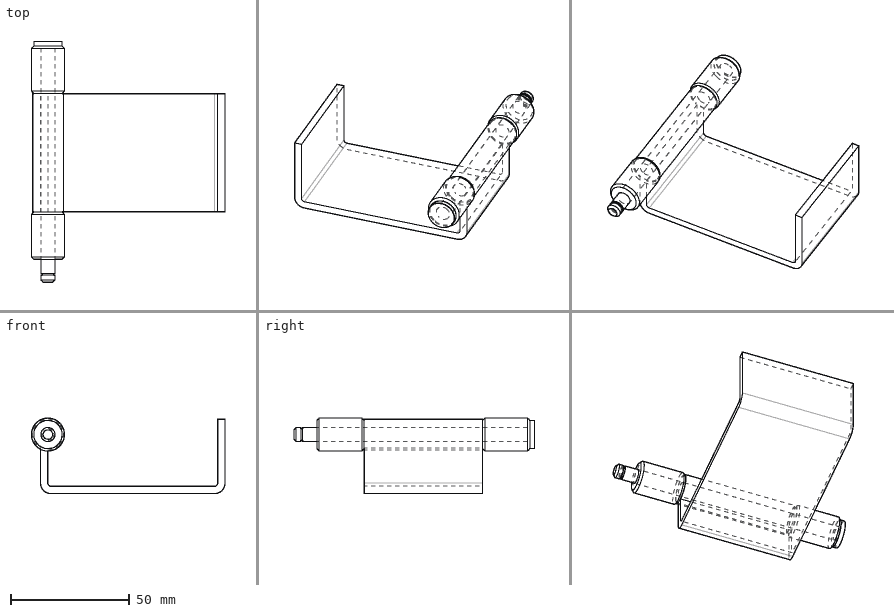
import cadquery as cq


leaf_length = 50.0
sheet = 3.175
inner_bend_radius = 1.3
outer_bend_radius = inner_bend_radius + sheet
knuckle_radius = 6.5
near_inner_x = 0.0
near_outer_x = near_inner_x - sheet
far_outer_x = 74.8
far_inner_x = far_outer_x - sheet
floor_bottom_z = -25.0
floor_top_z = floor_bottom_z + sheet
flange_top_z = knuckle_radius

barrel_radius = 7.0
barrel_length = 20.0
barrel_chamfer = 1.0
barrel_starts = [-barrel_length, leaf_length]

pin_radius = 3.0
head_radius = 6.0
head_length = 2.0
head_edge_chamfer = 0.12
shank_exposed = 6.0
groove_width = 0.7
groove_depth = 0.5
tip_length = 3.0
tip_chamfer = 1.0


def rod(radius, start_y, length):
    """Solid cylinder on the hinge axis, from start_y toward +Y."""
    return cq.Workplane("XZ", origin=(0, start_y, 0)).circle(radius).extrude(-length)


def make_leaf():
    """U-shaped sheet with a round knuckle on its near flange, bored for the pin."""
    sheet_body = (
        cq.Workplane("XZ")
        .moveTo(near_outer_x, 0)
        .lineTo(near_outer_x, floor_bottom_z)
        .lineTo(far_outer_x, floor_bottom_z)
        .lineTo(far_outer_x, flange_top_z)
        .lineTo(far_inner_x, flange_top_z)
        .lineTo(far_inner_x, floor_top_z)
        .lineTo(near_inner_x, floor_top_z)
        .lineTo(near_inner_x, 0)
        .close()
        .extrude(-leaf_length)
    )
    middle_y = leaf_length / 2
    for x in (near_outer_x, far_outer_x):
        corner = cq.selectors.NearestToPointSelector((x, middle_y, floor_bottom_z))
        sheet_body = sheet_body.edges("|Y").edges(corner).fillet(outer_bend_radius)
    for x in (near_inner_x, far_inner_x):
        corner = cq.selectors.NearestToPointSelector((x, middle_y, floor_top_z))
        sheet_body = sheet_body.edges("|Y").edges(corner).fillet(inner_bend_radius)
    knuckle = rod(knuckle_radius, 0, leaf_length)
    bore = rod(pin_radius, 0, leaf_length)
    return sheet_body.union(knuckle).cut(bore)


def make_barrel(start_y):
    """Sleeve with both outer rims chamfered, bored for the pin."""
    sleeve = rod(barrel_radius, start_y, barrel_length).edges().chamfer(barrel_chamfer)
    return sleeve.cut(rod(pin_radius, start_y, barrel_length))


def make_pin():
    """Headed pin with a shallow groove just before its chamfered tip."""
    head_y = leaf_length + barrel_length
    groove_y = -barrel_length - shank_exposed - groove_width
    tip_y = groove_y - tip_length
    head = rod(head_radius, head_y, head_length).edges().chamfer(head_edge_chamfer)
    shank = rod(pin_radius, tip_y, head_y - tip_y).faces("<Y").chamfer(tip_chamfer)
    groove = rod(pin_radius, groove_y, groove_width).cut(
        rod(pin_radius - groove_depth, groove_y, groove_width)
    )
    return shank.cut(groove).union(head)


leaf = make_leaf()
barrels = [make_barrel(start_y) for start_y in barrel_starts]
pin = make_pin()

result = cq.Compound.makeCompound([leaf.val(), *[barrel.val() for barrel in barrels], pin.val()])